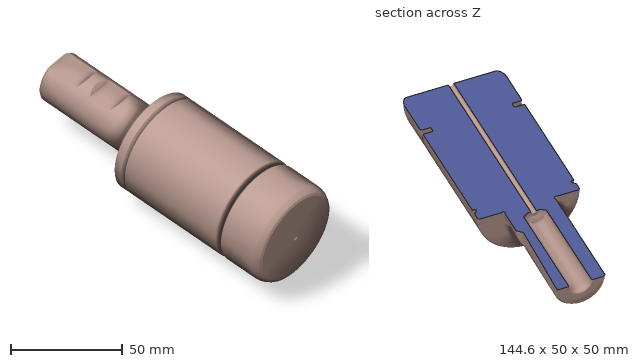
import cadquery as cq
import math

length = 144.6
body_radius = 50.0 / 2
edge_fillet = 0.9

shank_radius = 25.0 / 2
shank_end_radius = 23.5 / 2
shank_chamfer_length = 1.0
relief_radius = 24.6 / 2
relief_start = 55.0
relief_ramp = 1.0
recess_radius = 27.0 / 2
relief_fillet = 0.6
relief_fillet_start = 56.8

flange_start = 57.1
flange_chamfer = 0.6
flange_taper_start = 61.6
flange_groove_start = 62.8
flange_groove_radius = 47.0 / 2
barrel_start = 63.8

barrel_end = 119.2
neck_radius = 40.0 / 2
cap_start = 121.6
cap_round_start = 139.1
cap_round_radius = 7.7
cap_edge_length = 0.6

flat_height = 10.5
end_flat_floor = 17.2
middle_flat_start = 25.7
middle_flat_end = 37.7

inclined_flat_angle = 2.0
inclined_flat_height = 11.4
inclined_flat_end = 41.0

bore_mouth_radius = 12.0 / 2
bore_radius = 11.0 / 2
bore_chamfer = bore_mouth_radius - bore_radius
bore_depth = 50.6
bore_cone_angle = 118.0
bore_cone_radius = 6.0 / 2
through_radius = 2.5 / 2

clearance = 2.9


def turned_body():
    """Revolve the outer half profile about the X axis."""
    round_end = length - cap_edge_length

    def rounded(x):
        drop = cap_round_radius - math.sqrt(cap_round_radius**2 - (x - cap_round_start) ** 2)
        return body_radius - drop

    round_middle = (cap_round_start + round_end) / 2
    profile = (
        cq.Workplane("XY")
        .moveTo(0, 0)
        .lineTo(0, shank_end_radius)
        .lineTo(shank_chamfer_length, shank_radius)
        .lineTo(relief_start, shank_radius)
        .lineTo(relief_start + relief_ramp, relief_radius)
        .lineTo(relief_fillet_start, relief_radius)
        .radiusArc((relief_fillet_start + relief_fillet, relief_radius + relief_fillet), -relief_fillet)
        .lineTo(flange_start, recess_radius)
        .lineTo(flange_start, body_radius - flange_chamfer)
        .lineTo(flange_start + flange_chamfer, body_radius)
        .lineTo(flange_taper_start, body_radius)
        .lineTo(flange_groove_start, flange_groove_radius)
        .lineTo(barrel_start, flange_groove_radius)
        .lineTo(barrel_start, body_radius)
        .lineTo(barrel_end - edge_fillet, body_radius)
        .radiusArc((barrel_end, body_radius - edge_fillet), edge_fillet)
        .lineTo(barrel_end, neck_radius)
        .lineTo(cap_start, neck_radius)
        .lineTo(cap_start, body_radius - edge_fillet)
        .radiusArc((cap_start + edge_fillet, body_radius), edge_fillet)
        .lineTo(cap_round_start, body_radius)
        .threePointArc((round_middle, rounded(round_middle)), (round_end, rounded(round_end)))
        .lineTo(length, rounded(round_end) - 2 * cap_edge_length)
        .lineTo(length, 0)
        .close()
    )
    return profile.revolve(360, (0, 0, 0), (1, 0, 0))


def clamping_flats():
    """Two flats facing +Z whose inner ends rise at 45 degrees."""
    top = shank_radius + clearance
    rise = top - flat_height
    end_flat = [
        (-clearance, flat_height),
        (end_flat_floor, flat_height),
        (end_flat_floor + rise, top),
        (-clearance, top),
    ]
    middle_flat = [
        (middle_flat_start, flat_height),
        (middle_flat_end, flat_height),
        (middle_flat_end + rise, top),
        (middle_flat_start - rise, top),
    ]
    cutters = cq.Workplane("XZ")
    for outline in (end_flat, middle_flat):
        cutters = cutters.polyline(outline).close()
    return cutters.extrude(shank_radius, both=True)


def inclined_flat():
    """Flat facing +Y that deepens towards the flange and ends in a 45 degree rise."""
    slope = math.tan(math.radians(inclined_flat_angle))
    deep = inclined_flat_height - slope * inclined_flat_end
    top = shank_radius + clearance
    outline = [
        (-clearance, inclined_flat_height + slope * clearance),
        (inclined_flat_end, deep),
        (inclined_flat_end + top - deep, top),
        (-clearance, top),
    ]
    return cq.Workplane("XY").polyline(outline).close().extrude(shank_radius, both=True)


def stepped_bore():
    """Chamfered blind bore with a conical bottom and a small hole through the part."""
    cone_length = (bore_radius - bore_cone_radius) / math.tan(math.radians(bore_cone_angle / 2))
    cone_end = bore_depth + cone_length
    profile = [
        (0, 0),
        (0, bore_mouth_radius),
        (bore_chamfer, bore_radius),
        (bore_depth, bore_radius),
        (cone_end, bore_cone_radius),
        (cone_end, through_radius),
        (length, through_radius),
        (length, 0),
    ]
    return cq.Workplane("XY").polyline(profile).close().revolve(360, (0, 0, 0), (1, 0, 0))


result = turned_body().cut(clamping_flats()).cut(inclined_flat()).cut(stepped_bore())